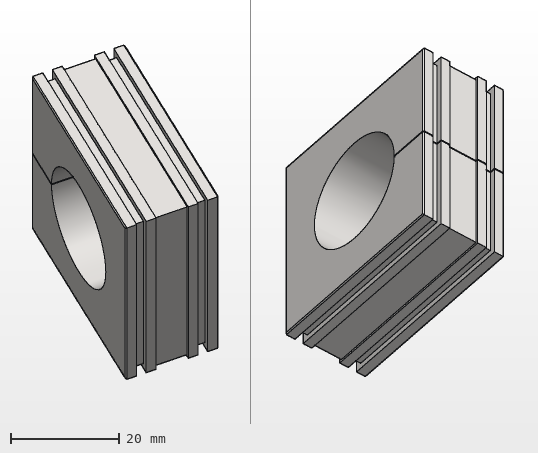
import cadquery as cq

width = 41.5
depth = 19.0
height = 42.0
bore_diameter = 24.0
slit_height = 0.2
edge_chamfer = 0.25

end_flange = 2.25
side_groove_width = 1.95
side_groove_depth = 1.25
inner_rib = 2.0
center_groove_depth = 0.5
center_groove_width = depth - 2 * (end_flange + side_groove_width + inner_rib)


def perimeter_groove(y_center, groove_width, groove_depth):
    """Rectangular ring that cuts a groove around all four sides."""
    outside = cq.Workplane("XY").box(width, groove_width, height)
    core = cq.Workplane("XY").box(
        width - 2 * groove_depth, groove_width, height - 2 * groove_depth
    )
    return outside.cut(core).translate((0, y_center, 0))


block = cq.Workplane("XY").box(width, depth, height)
block = block.faces("<Y or >Y").chamfer(edge_chamfer)

side_groove_y = depth / 2 - end_flange - side_groove_width / 2
for side in (-1, 1):
    block = block.cut(perimeter_groove(side * side_groove_y, side_groove_width, side_groove_depth))
block = block.cut(perimeter_groove(0, center_groove_width, center_groove_depth))

bore = cq.Workplane("XZ").circle(bore_diameter / 2).extrude(depth / 2, both=True)
block = block.cut(bore)

slit = cq.Workplane("XY").box(width / 2, depth, slit_height).translate((-width / 4, 0, 0))
result = block.cut(slit)